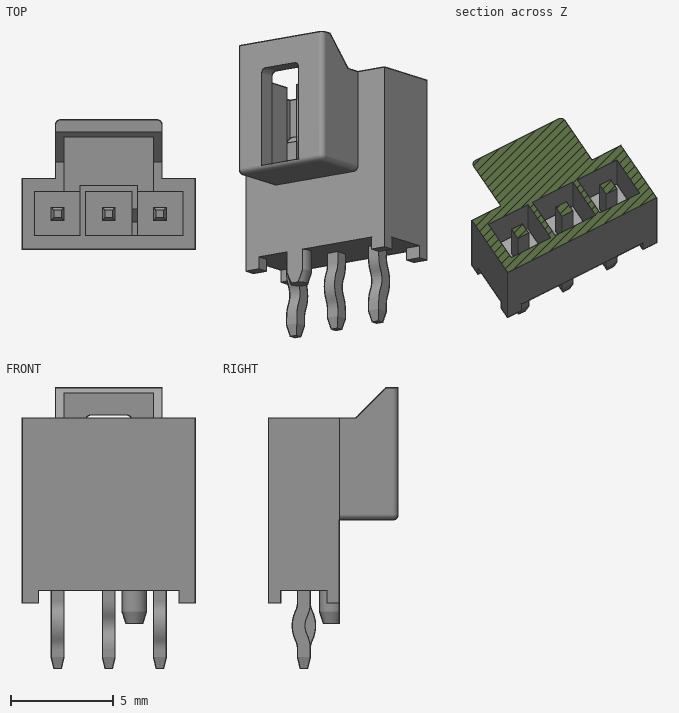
import cadquery as cq
import math


total_height = 13.71

body_width = 8.45
body_depth = 3.47
body_top = 8.43
floor_thickness = 1.37
front_wall = 0.67
end_wall = 0.6
cavity_back = 2.84

foot_width = 0.8
foot_depth = 0.62
foot_height = 0.6

socket_wall = 0.27
socket_inside_width = 2.26
socket_width = socket_inside_width + 2 * socket_wall
socket_back = cavity_back + socket_wall
notch_front = 1.35
notch_back = 1.97
notch_drop = notch_back - notch_front

latch_width = 5.21
latch_back = 6.33
latch_bottom = 3.45
latch_top = 9.91
latch_side_wall = 0.43
latch_back_wall = 0.85
latch_floor_thickness = 0.25
latch_floor = latch_bottom + latch_floor_thickness
latch_round = 0.26
bevel_bottom_y = 4.26
bevel_top_y = 5.75
latch_inside_width = latch_width - 2 * latch_side_wall
latch_inside_back = latch_back - latch_back_wall

window_width = 2.23
window_top = 8.57
window_round = 0.25

pin_pitch = 2.5
pin_size = 0.63
pin_y = body_depth / 2
pin_top = 6.17
pin_bottom = latch_top - total_height
pin_tip_size = 0.37
top_taper_height = 0.27
bottom_taper_height = 0.55
bend_start = -0.56
bend_end = -2.85
bend_offset = 0.26

peg_x = pin_pitch / 2
peg_diameter = 1.2
peg_y = 3.1
peg_root = floor_thickness / 2
peg_taper_start = -1.01
peg_bottom = -1.6
peg_tip_diameter = 0.84


def block(width, y_front, y_back, z_bottom, z_top, x_centre=0):
    """Box centred on x_centre, between two Y planes and two Z planes."""
    return cq.Workplane("XY").box(
        width, y_back - y_front, z_top - z_bottom, centered=(True, False, False)
    ).translate((x_centre, y_front, z_bottom))


def side_profile(points, width):
    """Extrude a (Y, Z) outline along X, centred on X = 0."""
    return cq.Workplane("YZ").polyline(points).close().extrude(width / 2, both=True)


def make_latch():
    """Beveled housing with rounded back corners and rounded lower edges."""
    outline = [
        (cavity_back, latch_bottom),
        (latch_back, latch_bottom),
        (latch_back, latch_top),
        (bevel_top_y, latch_top),
        (bevel_bottom_y, body_top),
        (cavity_back, body_top),
    ]
    latch = side_profile(outline, latch_width)
    latch = latch.edges("(>Y and |Z) or (<Z and |Y) or (<Z and >Y)").fillet(latch_round)
    window = block(window_width, latch_inside_back, latch_back, latch_floor, window_top)
    window = window.edges("|Y and >Z").fillet(window_round)
    return latch.cut(window)


def make_socket():
    """Three thin walls joined to the front wall; the +X wall is lowered at its front."""
    socket = block(socket_width, front_wall, socket_back, floor_thickness, body_top)
    inside = block(socket_inside_width, front_wall, cavity_back, floor_thickness, body_top)
    notch_outline = [
        (front_wall, body_top),
        (notch_back, body_top),
        (notch_front, body_top - notch_drop),
        (front_wall, body_top - notch_drop),
    ]
    notch_x = (socket_inside_width + socket_wall) / 2
    notch = side_profile(notch_outline, socket_wall).translate((notch_x, 0, 0))
    return socket.cut(inside).cut(notch)


def make_feet():
    """One foot under each corner of the body."""
    foot_x = (body_width - foot_width) / 2
    feet = cq.Workplane("XY")
    for x in (-foot_x, foot_x):
        for y in (0, body_depth - foot_depth):
            feet = feet.add(block(foot_width, y, y + foot_depth, -foot_height, 0, x))
    return feet.combine()


def make_peg():
    """Round peg with a tapered tip, flattened flush with the back of the body."""
    outline = [
        (0, peg_root),
        (peg_diameter / 2, peg_root),
        (peg_diameter / 2, peg_taper_start),
        (peg_tip_diameter / 2, peg_bottom),
        (0, peg_bottom),
    ]
    peg = cq.Workplane("XZ").polyline(outline).close().revolve(360, (0, 0), (0, 1))
    peg = peg.translate((peg_x, peg_y, 0))
    keep = block(body_width, 0, body_depth, peg_bottom, floor_thickness)
    return peg.intersect(keep)


def make_pin(x, bend):
    """Square pin with tapered ends and an S-bend that moves its middle by `bend` along Y."""
    shank_top = pin_top - top_taper_height
    shank_bottom = pin_bottom + bottom_taper_height
    taper_inset = (pin_size - pin_tip_size) / 2

    quarter = (bend_start - bend_end) / 4
    path = (
        cq.Workplane("YZ")
        .moveTo(0, shank_top)
        .lineTo(0, bend_start)
        .tangentArcPoint((bend / 2, bend_start - quarter), relative=False)
        .tangentArcPoint((bend / 2, bend_end + quarter), relative=False)
        .tangentArcPoint((0, bend_end), relative=False)
        .lineTo(0, shank_bottom)
    )
    shank = cq.Workplane("XY", origin=(0, 0, shank_top)).rect(pin_size, pin_size).sweep(path)

    pin = shank
    for start, height in ((shank_top, top_taper_height), (shank_bottom, -bottom_taper_height)):
        taper = math.degrees(math.atan2(taper_inset, abs(height)))
        section = cq.Workplane("XY", origin=(0, 0, start)).rect(pin_size, pin_size)
        pin = pin.union(section.extrude(height, taper=taper))
    return pin.translate((x, pin_y, 0))


shell = block(body_width, 0, body_depth, 0, body_top).union(make_latch())
cavity_width = body_width - 2 * end_wall
shell = shell.cut(block(cavity_width, front_wall, cavity_back, floor_thickness, body_top))
shell = shell.cut(block(latch_inside_width, cavity_back, latch_inside_back, latch_floor, latch_top))
result = shell.union(make_socket()).union(make_feet()).union(make_peg())

for position, direction in ((-1, -1), (0, 1), (1, -1)):
    result = result.union(make_pin(position * pin_pitch, direction * bend_offset))